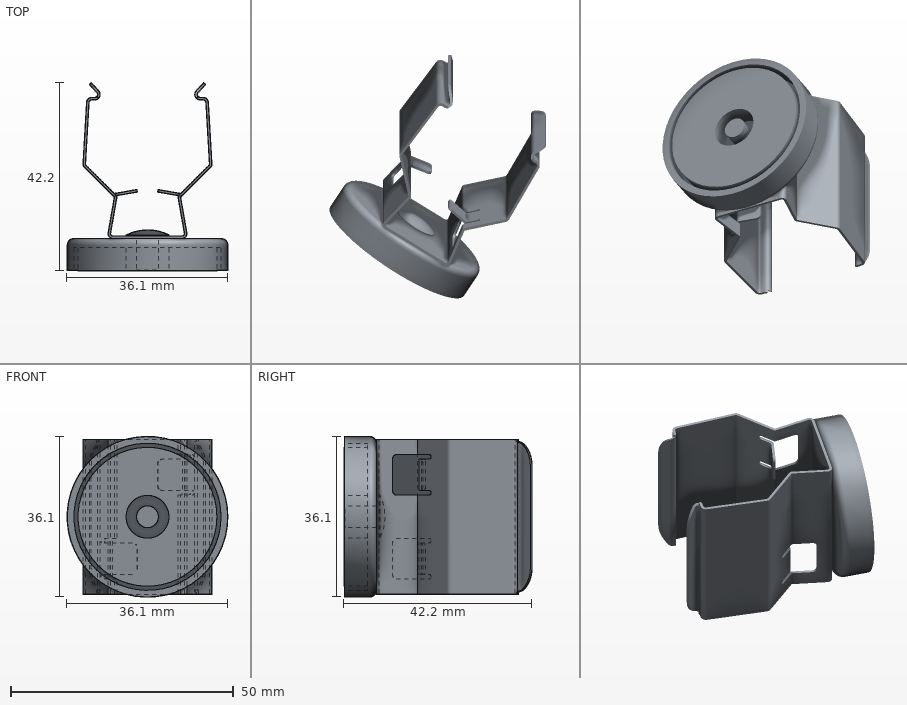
import cadquery as cq
import math

overall_depth = 42.2
cup_diameter = 36.1

cup_depth = 7.18
cup_back_fillet = 1.5
groove_outer_radius = 16.5
groove_inner_radius = 15.58
magnet_hole_radius = 4.8
cup_floor = 2.0
core_projection = 0.1
core_front_y = -cup_depth - core_projection

shank_radius = 2.45
shank_recess = 0.2
head_radius = 4.8
head_rim = 0.2
head_dome = 1.15

sheet = 0.6
bend_radius = 0.5
clip_height = 34.8
base_half_length = 7.75
leg_lean = 10
slope_angle = 45
side_lean = 3.3
waist_y = 9.25
slope_top_y = 15.95
side_top_y = 30.5
ledge_length = 0.65
lip_angle = 47
lip_bend_radius = 0.65
lip_corner_radius = 5.9
lip_tip_y = overall_depth - cup_depth - core_projection

window_bottom_y = 3.65
window_corner_radius = 1.0
slot_top_y = 12.3
slot_width = 1.05
slot_end_radius = 0.5
tongue_width = 7.0
tongue_z = 9.4
tongue_bend_y = 9.8
tongue_bend_radius = 0.3
tongue_root = 0.85
tongue_length = 5.02
tongue_corner_radius = 1.0
window_width = tongue_width + 2 * slot_width


def polar(point, angle, distance):
    """Point at a distance from another, in a direction given in degrees."""
    direction = math.radians(angle)
    return (point[0] + distance * math.cos(direction), point[1] + distance * math.sin(direction))


def disc(radius, y_from, y_to):
    """Solid disc around the Y axis between two Y positions."""
    return cq.Workplane("XZ", origin=(0, y_to, 0)).circle(radius).extrude(y_to - y_from)


class Strip:
    """Edge outline of a bent sheet, drawn forward from its right-hand corner."""

    def __init__(self, right, heading):
        self.right = right
        self.heading = heading
        self.start = right
        self.right_edge = []
        self.left_edge = []

    @property
    def left(self):
        return polar(self.right, self.heading + 90, sheet)

    def straight(self, length):
        left_from = self.left
        self.right = polar(self.right, self.heading, length)
        self.right_edge.append((None, self.right))
        self.left_edge.append((None, left_from))

    def straight_to_y(self, y):
        """Go straight on until the right-hand face reaches a given Y."""
        self.straight((y - self.right[1]) / math.sin(math.radians(self.heading)))

    def bend(self, turn, inner_radius):
        """Turn left for a positive angle, right for a negative one."""
        left_from = self.left
        left_turn = turn > 0
        right_radius = inner_radius + sheet if left_turn else inner_radius
        left_radius = inner_radius if left_turn else inner_radius + sheet
        to_center = 90 if left_turn else -90
        center = polar(self.right, self.heading + to_center, right_radius)
        middle = self.heading + turn / 2 - to_center
        self.heading += turn
        self.right = polar(center, self.heading - to_center, right_radius)
        if right_radius > 0:
            self.right_edge.append((polar(center, middle, right_radius), self.right))
        if left_radius > 0:
            self.left_edge.append((polar(center, middle, left_radius), left_from))

    def solid(self, width, center_z):
        outline = cq.Workplane("XY", origin=(0, 0, center_z - width / 2)).moveTo(*self.start)
        end_left = (None, self.left)
        for middle, point in self.right_edge + [end_left] + self.left_edge[::-1]:
            outline = outline.threePointArc(middle, point) if middle else outline.lineTo(*point)
        return outline.close().extrude(width)


def make_clip_side():
    """The +X half of the clip without its tongue, and the outer corner where leg meets slope."""
    strip = Strip((0, 0), 0)
    strip.straight(base_half_length)
    strip.bend(90 + leg_lean, bend_radius)
    strip.straight_to_y(waist_y)
    waist = strip.right
    strip.bend(slope_angle - 90 - leg_lean, 0)
    strip.straight_to_y(slope_top_y)
    strip.bend(90 + side_lean - slope_angle, bend_radius)
    strip.straight_to_y(side_top_y)
    strip.bend(90 - side_lean, lip_bend_radius)
    strip.straight(ledge_length)
    strip.bend(lip_angle - 180, lip_bend_radius)
    tip_right_y = lip_tip_y - sheet * math.cos(math.radians(lip_angle))
    strip.straight_to_y(tip_right_y)
    return strip.solid(clip_height, 0).cut(make_lip_corners(strip.right)), waist


def make_lip_corners(tip):
    """Cutters that round the two corners of the lip, square to its face and up to its bend."""
    facing = (*polar((0, 0), lip_angle - 90, 1), 0)
    lip_face = cq.Workplane(cq.Plane(origin=(*tip, 0), xDir=(0, 0, 1), normal=facing))
    edge = clip_height / 2
    arc_middle = lip_corner_radius * (1 - math.sqrt(0.5))
    corner = (
        lip_face.workplane(offset=-2 * sheet)
        .moveTo(edge, 0)
        .lineTo(edge - lip_corner_radius, 0)
        .threePointArc((edge - arc_middle, arc_middle), (edge, lip_corner_radius))
        .close()
        .extrude(2 * sheet + lip_bend_radius)
    )
    return corner.union(corner.mirror("XY"))


def make_window():
    """Cutter for the tongue's window: an opening in the leg with two slots up the slope."""
    reach = 2 * base_half_length
    opening = (
        cq.Workplane("YZ")
        .center((window_bottom_y + tongue_bend_y) / 2, tongue_z)
        .rect(tongue_bend_y - window_bottom_y, window_width)
        .extrude(reach)
        .edges("|X and <Y")
        .fillet(window_corner_radius)
    )
    slot_spacing = tongue_width + slot_width
    slots = (
        cq.Workplane("YZ")
        .center((waist_y + slot_top_y) / 2, tongue_z)
        .rarray(0.42, slot_spacing, 1, 2)
        .rect(slot_top_y - waist_y, slot_width)
        .extrude(reach)
        .edges("|X and >Y")
        .fillet(slot_end_radius)
    )
    return opening.union(slots)


def make_tongue(waist):
    """Sheet going on down the slope between the slots, then bent inward square to the leg."""
    rise = tongue_bend_y - waist_y
    root = polar((waist[0] + rise, tongue_bend_y), slope_angle, tongue_root)
    strip = Strip(polar(root, slope_angle + 90, sheet), slope_angle - 180)
    strip.straight(tongue_root)
    strip.bend(slope_angle - 90 - leg_lean, tongue_bend_radius)
    strip.straight(tongue_length)
    tongue = strip.solid(tongue_width, tongue_z)
    sheet_normal = cq.Vector(*polar((0, 0), strip.heading + 90, 1))
    return tongue.edges(cq.selectors.ParallelDirSelector(sheet_normal)).fillet(tongue_corner_radius)


def make_clip():
    """Two like halves, a half turn about the Y axis apart, with a hole for the rivet."""
    side, waist = make_clip_side()
    half = side.cut(make_window()).union(make_tongue(waist))
    clip = half.union(half.rotate((0, 0, 0), (0, 1, 0), 180))
    return clip.cut(disc(shank_radius, 0, sheet))


def make_cup():
    """Magnet cup, with a deep ring groove around its core and a stepped hole for the rivet."""
    cup_radius = cup_diameter / 2
    cup = disc(cup_radius, -cup_depth, 0).faces(">Y").edges().fillet(cup_back_fillet)
    core = disc(groove_inner_radius, core_front_y, -cup_floor)
    groove = disc(groove_outer_radius, -cup_depth, -cup_floor)
    cup = cup.cut(groove).union(core)
    magnet_hole = disc(magnet_hole_radius, core_front_y, -cup_floor)
    return cup.cut(magnet_hole).cut(disc(shank_radius, -cup_depth, 0))


def make_rivet():
    """Rivet with a shallow domed head inside the clip."""
    shank = disc(shank_radius, core_front_y + shank_recess, sheet)
    rim_y = sheet + head_rim
    dome_radius = (head_radius**2 + head_dome**2) / (2 * head_dome)
    dome_center = (0, rim_y + head_dome - dome_radius)
    half_angle = math.degrees(math.asin(head_radius / dome_radius)) / 2
    dome_middle = polar(dome_center, 90 - half_angle, dome_radius)
    head = (
        cq.Workplane("XY")
        .moveTo(0, sheet)
        .lineTo(head_radius, sheet)
        .lineTo(head_radius, rim_y)
        .threePointArc(dome_middle, (0, rim_y + head_dome))
        .close()
        .revolve(360, (0, 0, 0), (0, 1, 0))
    )
    return shank.union(head)


cup = make_cup().solids().val()
clip = make_clip().solids().val()
rivet = make_rivet().solids().val()

result = cq.Compound.makeCompound([cup, clip, rivet])